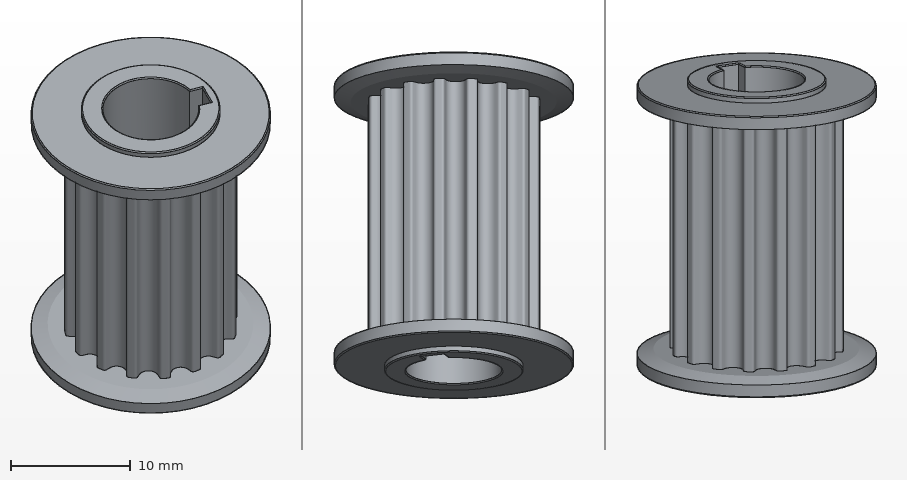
import cadquery as cq
import math

total_length = 25.4
edge_chamfer = 0.1

hub_diameter = 11.6
hub_height = 0.5

flange_diameter = 20.0
flange_thickness = 1.5
flange_flat_diameter = 17.2
flange_bevel_angle = 15.0

tooth_count = 16
belt_pitch = 3.0
pitch_line_offset = 0.381
tooth_tip_radius = tooth_count * belt_pitch / (2 * math.pi) - pitch_line_offset
groove_center_distance = 7.0
groove_bottom_radius = 0.84
groove_wall_angle = 23.4
tooth_tip_fillet = 0.245

bore_diameter = 8.0
keyway_width = 2.0
keyway_top = 5.0

barrel_length = total_length - 2 * (hub_height + flange_thickness)
barrel_base = (0, 0, -barrel_length / 2)
pulley_base = (0, 0, -total_length / 2)


def find_tip_fillet_center():
    """Center of the fillet that touches both the +Y groove wall and the tooth tip circle."""
    wall_angle = math.radians(groove_wall_angle)
    center_radius = tooth_tip_radius - tooth_tip_fillet
    axis_to_wall = groove_bottom_radius - groove_center_distance * math.sin(wall_angle)
    axis_to_center = axis_to_wall + tooth_tip_fillet
    center_angle = wall_angle + math.asin(axis_to_center / center_radius)
    return center_radius * math.cos(center_angle), center_radius * math.sin(center_angle), center_angle


def make_groove_cutter():
    """Prism filling one belt groove on the +X side, flaring out around the tooth tip fillets."""
    wall_angle = math.radians(groove_wall_angle)
    fillet_x, fillet_y, fillet_angle = find_tip_fillet_center()

    bottom_end_x = groove_center_distance - groove_bottom_radius * math.sin(wall_angle)
    bottom_end_y = groove_bottom_radius * math.cos(wall_angle)
    wall_end_x = fillet_x + tooth_tip_fillet * math.sin(wall_angle)
    wall_end_y = fillet_y - tooth_tip_fillet * math.cos(wall_angle)

    mid_angle = (fillet_angle + wall_angle - math.pi / 2) / 2
    mid_x = fillet_x + tooth_tip_fillet * math.cos(mid_angle)
    mid_y = fillet_y + tooth_tip_fillet * math.sin(mid_angle)
    tip_x = tooth_tip_radius * math.cos(fillet_angle)
    tip_y = tooth_tip_radius * math.sin(fillet_angle)

    bottom = (groove_center_distance - groove_bottom_radius, 0)
    return (
        cq.Workplane("XY", origin=barrel_base)
        .moveTo(bottom_end_x, -bottom_end_y)
        .threePointArc(bottom, (bottom_end_x, bottom_end_y))
        .lineTo(wall_end_x, wall_end_y)
        .threePointArc((mid_x, mid_y), (tip_x, tip_y))
        .threePointArc((tooth_tip_radius, 0), (tip_x, -tip_y))
        .threePointArc((mid_x, -mid_y), (wall_end_x, -wall_end_y))
        .close()
        .extrude(barrel_length)
    )


def make_barrel():
    """Round barrel, centered at mid-height of the pulley, with evenly spaced belt grooves."""
    barrel = cq.Workplane("XY", origin=barrel_base).circle(tooth_tip_radius).extrude(barrel_length)
    groove_cutter = make_groove_cutter()
    for index in range(tooth_count):
        angle = index * 360 / tooth_count
        barrel = barrel.cut(groove_cutter.rotate((0, 0, 0), (0, 0, 1), angle))
    return barrel


def make_upper_end():
    """Flange and hub above the barrel, turned about the Z axis."""
    hub_radius = hub_diameter / 2
    flange_radius = flange_diameter / 2
    flat_radius = flange_flat_diameter / 2
    bevel_height = (flange_radius - flat_radius) * math.tan(math.radians(flange_bevel_angle))
    end_z = total_length / 2
    flange_outer_z = end_z - hub_height
    flange_inner_z = flange_outer_z - flange_thickness
    profile = [
        (0, flange_inner_z),
        (flat_radius, flange_inner_z),
        (flange_radius, flange_inner_z + bevel_height),
        (flange_radius, flange_outer_z - edge_chamfer),
        (flange_radius - edge_chamfer, flange_outer_z),
        (hub_radius, flange_outer_z),
        (hub_radius, end_z - edge_chamfer),
        (hub_radius - edge_chamfer, end_z),
        (0, end_z),
    ]
    return cq.Workplane("XZ").polyline(profile).close().revolve(360, (0, 0, 0), (0, 1, 0))


def make_bore_cutter():
    """Through bore with a keyway on the +Y side, widened by a chamfer at both ends."""
    bore = cq.Workplane("XY", origin=pulley_base).circle(bore_diameter / 2).extrude(total_length)
    keyway = (
        cq.Workplane("XY", origin=pulley_base)
        .center(0, keyway_top / 2)
        .rect(keyway_width, keyway_top)
        .extrude(total_length)
    )
    return bore.union(keyway)


def is_on_end_face_bore(edge):
    """True for an end-face edge that belongs to the bore or keyway outline."""
    reach = edge.BoundingBox()
    return max(reach.ymax, -reach.ymin) < keyway_top + edge_chamfer


upper_end = make_upper_end()
lower_end = upper_end.mirror("XY")
pulley = make_barrel().union(upper_end).union(lower_end).cut(make_bore_cutter())

bore_rims = pulley.faces("<Z or >Z").edges().filter(is_on_end_face_bore)
result = bore_rims.chamfer(edge_chamfer)